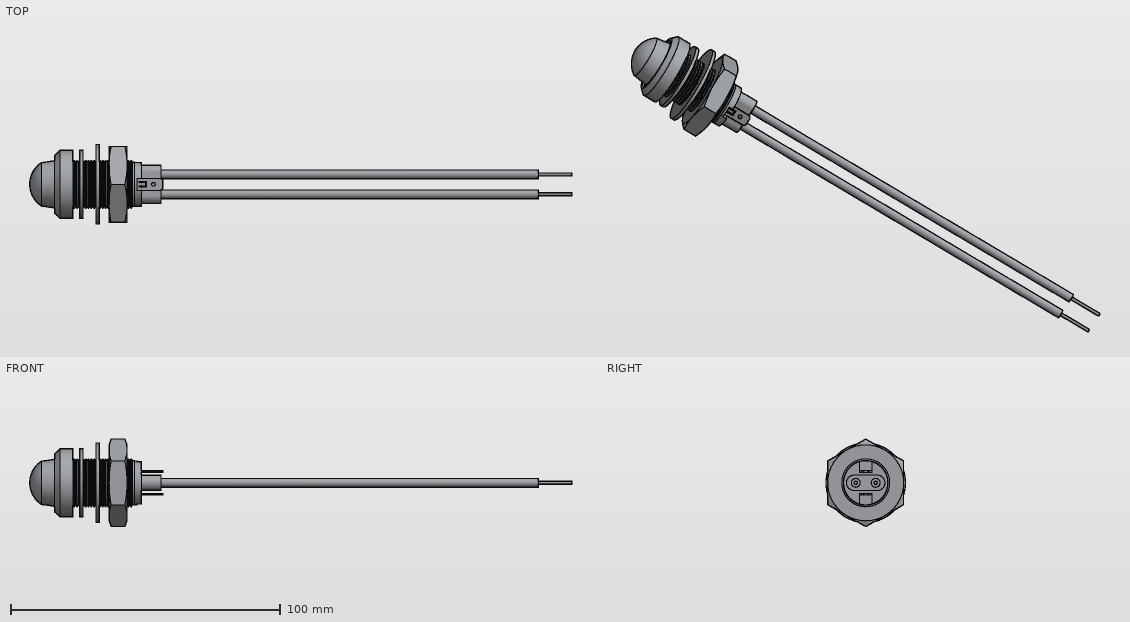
import cadquery as cq
import math

dome_depth = 4.4
dome_rim_radius = 8.1
lens_base_radius = 8.8
lens_seat_depth = 2.0
lens_clearance = 1.0
lens_groove_depth = 1.0

bezel_front = 9.3
bezel_face_radius = 10.8
bezel_chamfer_length = 2.0
bezel_radius = 12.68
bezel_back = 16.1
thread_pitch = 1.06
thread_depth = 0.6
thread_crest = thread_pitch / 8
thread_radius = 8.9
thread_end = 38.9
collar_radius = 8.2
collar_end = 41.5
boss_end = 48.9
boss_half_width = 7.15
boss_half_height = 2.85
boss_flat_half_width = 4.65

flat_washer_front = 18.6
flat_washer_radius = bezel_radius
lock_washer_front = 24.6
lock_washer_radius = 29.62 / 2
washer_thickness = 1.3
nut_front = 29.5
nut_length = 6.7
nut_across_corners = 32.59
nut_face_radius = 14.1
nut_chamfer_length = 0.8

tab_front = 39.9
tab_end = 49.5
tab_width = 4.5
tab_thickness = 0.6
tab_height = 4.2
tab_tip_chamfer = 0.7
tab_hole_center = 46.0
tab_hole_diameter = 1.4
barb_front = 40.7
barb_length = 2.8
barb_width = 1.6
barb_slit = 0.4

wire_spacing = 7.4
insulation_radius = 1.65
insulation_end = 189.0
conductor_radius = 0.6
wire_end = 201.42
wire_socket_depth = 5.0


def rod(start, end, radius):
    """Cylinder on the X axis between two stations."""
    return cq.Workplane("YZ").workplane(offset=start).circle(radius).extrude(end - start)


def make_lens():
    dome_radius = (dome_depth**2 + dome_rim_radius**2) / (2 * dome_depth)
    half_angle = math.asin(dome_rim_radius / dome_radius) / 2
    arc_middle = (dome_radius * (1 - math.cos(half_angle)), dome_radius * math.sin(half_angle))
    seat_bottom = bezel_front + lens_seat_depth
    profile = (
        cq.Workplane("XY")
        .threePointArc(arc_middle, (dome_depth, dome_rim_radius))
        .lineTo(bezel_front, lens_base_radius)
        .lineTo(seat_bottom, lens_base_radius)
        .lineTo(seat_bottom, 0)
        .close()
    )
    return profile.revolve(360, (0, 0, 0), (1, 0, 0))


def make_turned_housing():
    """Bezel, ridged barrel and plain collar as one turned shape."""
    ridge_count = math.floor((thread_end - bezel_back) / thread_pitch)
    root_radius = thread_radius - thread_depth
    flank_length = (thread_pitch - 2 * thread_crest) / 2
    profile = (
        cq.Workplane("XY")
        .moveTo(bezel_front, 0)
        .lineTo(bezel_front, bezel_face_radius)
        .lineTo(bezel_front + bezel_chamfer_length, bezel_radius)
        .lineTo(bezel_back, bezel_radius)
        .lineTo(bezel_back, root_radius)
    )
    for ridge in range(ridge_count):
        start = bezel_back + ridge * thread_pitch
        profile = profile.lineTo(start + flank_length, thread_radius)
        profile = profile.lineTo(start + flank_length + thread_crest, thread_radius)
        profile = profile.lineTo(start + thread_crest + 2 * flank_length, root_radius)
        profile = profile.lineTo(start + thread_pitch, root_radius)
    profile = (
        profile.lineTo(thread_end, root_radius)
        .lineTo(thread_end, collar_radius)
        .lineTo(collar_end, collar_radius)
        .lineTo(collar_end, 0)
        .close()
    )
    return profile.revolve(360, (0, 0, 0), (1, 0, 0))


def make_boss():
    """Flat-topped boss with rounded sides that carries both wires."""
    return (
        cq.Workplane("YZ")
        .workplane(offset=collar_end)
        .moveTo(-boss_flat_half_width, boss_half_height)
        .lineTo(boss_flat_half_width, boss_half_height)
        .threePointArc((boss_half_width, 0), (boss_flat_half_width, -boss_half_height))
        .lineTo(-boss_flat_half_width, -boss_half_height)
        .threePointArc((-boss_half_width, 0), (-boss_flat_half_width, boss_half_height))
        .close()
        .extrude(boss_end - collar_end)
    )


def make_tab_slot(side):
    """Open slot in the collar, from the inner face of a tab outwards."""
    length = collar_end - tab_front
    floor_height = tab_height - tab_thickness / 2
    slot = cq.Workplane("XY").box(length, tab_width, collar_radius, centered=(False, True, False))
    slot = slot.translate((tab_front, 0, floor_height))
    return slot if side > 0 else slot.mirror("XY")


def make_wire(side):
    socket_floor = boss_end - wire_socket_depth
    insulation = rod(socket_floor, insulation_end, insulation_radius)
    conductor = rod(insulation_end, wire_end, conductor_radius)
    return insulation.union(conductor).translate((0, side * wire_spacing / 2, 0))


def make_housing():
    housing = make_turned_housing().union(make_boss())
    lens_seat = rod(bezel_front, bezel_front + lens_seat_depth, lens_base_radius)
    lens_groove = rod(bezel_front, bezel_front + lens_groove_depth, lens_base_radius + lens_clearance)
    housing = housing.cut(lens_seat).cut(lens_groove)
    for side in (1, -1):
        housing = housing.cut(make_tab_slot(side))
        housing = housing.cut(make_wire(side))
    return housing


def make_washer(front, radius):
    back = front + washer_thickness
    return rod(front, back, radius).cut(rod(front, back, thread_radius))


def make_nut():
    back = nut_front + nut_length
    corner_radius = nut_across_corners / 2
    hexagon = (
        cq.Workplane("YZ")
        .workplane(offset=nut_front)
        .transformed(rotate=(0, 0, 90))
        .polygon(6, nut_across_corners)
        .extrude(nut_length)
    )
    chamfer_envelope = (
        cq.Workplane("XY")
        .moveTo(nut_front, 0)
        .lineTo(nut_front, nut_face_radius)
        .lineTo(nut_front + nut_chamfer_length, corner_radius)
        .lineTo(back - nut_chamfer_length, corner_radius)
        .lineTo(back, nut_face_radius)
        .lineTo(back, 0)
        .close()
        .revolve(360, (0, 0, 0), (1, 0, 0))
    )
    return hexagon.intersect(chamfer_envelope).cut(rod(nut_front, back, thread_radius))


def make_tab(side):
    """Terminal strip with chamfered tip, round hole and a tongue freed by a U-shaped slit."""
    length = tab_end - tab_front
    tab = cq.Workplane("XY").box(length, tab_width, tab_thickness, centered=(False, True, True))
    tab = tab.translate((tab_front, 0, 0)).edges("|Z and >X").chamfer(tab_tip_chamfer)
    hole = cq.Workplane("XY").center(tab_hole_center, 0).circle(tab_hole_diameter / 2)
    tab = tab.cut(hole.extrude(tab_thickness, both=True))
    outer_width = barb_width + barb_slit
    lance = cq.Workplane("XY").center(barb_front + barb_length / 2, 0)
    window = lance.rect(barb_length, outer_width).extrude(tab_thickness, both=True)
    tongue = lance.center(-barb_slit, 0).rect(barb_length, outer_width - 2 * barb_slit)
    slit = window.cut(tongue.extrude(tab_thickness, both=True))
    return tab.cut(slit).translate((0, 0, side * tab_height))


lens = make_lens()
housing = make_housing()
flat_washer = make_washer(flat_washer_front, flat_washer_radius)
lock_washer = make_washer(lock_washer_front, lock_washer_radius)
nut = make_nut()
tabs = [make_tab(side) for side in (1, -1)]
wires = [make_wire(side) for side in (1, -1)]

bodies = [lens, housing, flat_washer, lock_washer, nut, *tabs, *wires]
result = cq.Compound.makeCompound([body.val() for body in bodies])